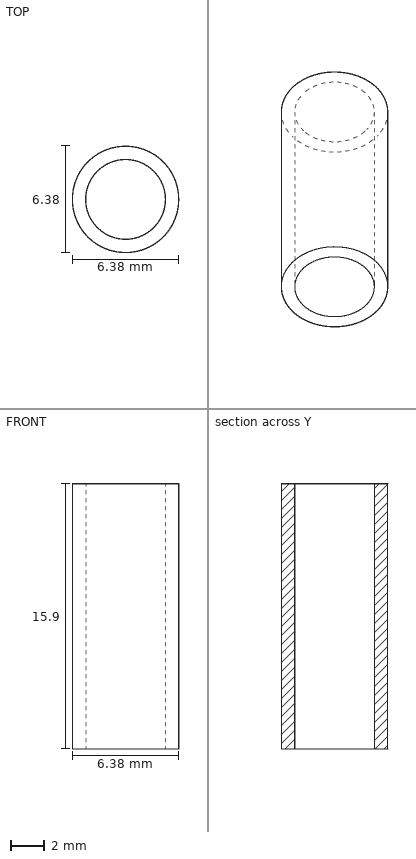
import cadquery as cq

length = 15.88
outer_diameter = 6.38
bore_diameter = 4.76

result = (
    cq.Workplane("XY")
    .circle(outer_diameter / 2)
    .circle(bore_diameter / 2)
    .extrude(length)
)